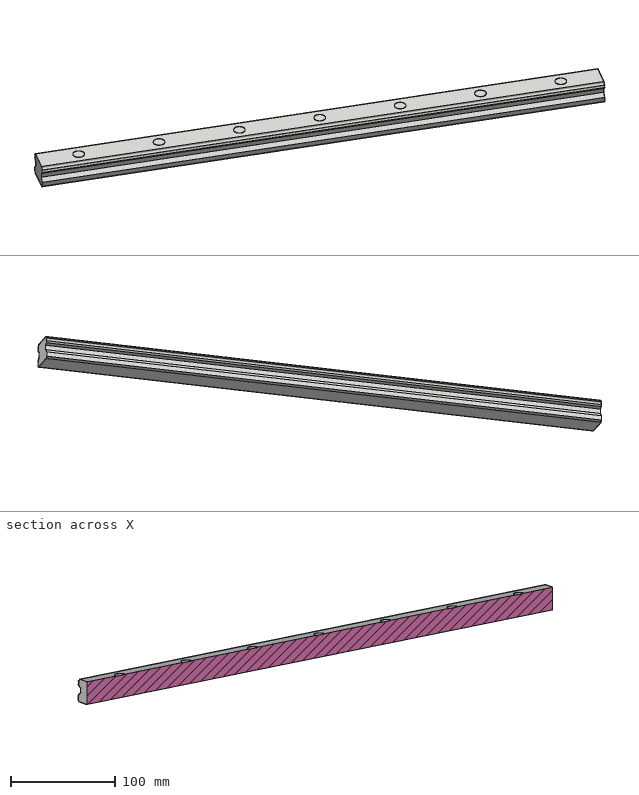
import cadquery as cq

LENGTH = 560.0
WIDTH = 28.0
HEIGHT = 23.0
HALF_WIDTH = WIDTH / 2

BOTTOM_CHAMFER = 1.5
BASE_HEIGHT = 6.0

WAIST_INSET = 3.65
SHOULDER_RISE = 3.65
WAIST_HEIGHT = 4.5
HEAD_UNDERSIDE_RISE = 1.5
HEAD_UNDERSIDE_INSET = 1.0

GROOVE_HEIGHT = 3.0
GROOVE_DEPTH = 0.85
GROOVE_TOP_DROP = 2.5

TOP_INSET = 2.5
BEVEL_INSET = 1.95
BEVEL_DROP = 0.85

HOLE_COUNT = 7
HOLE_PITCH = LENGTH / HOLE_COUNT
HOLE_DIAMETER = 11.0
HOLE_DEPTH = 0.3


def rail_half():
    """Half of the rail, on the +X side of its middle plane."""
    waist_x = HALF_WIDTH - WAIST_INSET
    waist_bottom = BASE_HEIGHT + SHOULDER_RISE
    waist_top = waist_bottom + WAIST_HEIGHT
    head_underside_top = waist_top + HEAD_UNDERSIDE_RISE
    groove_top = HEIGHT - GROOVE_TOP_DROP
    groove_bottom = groove_top - GROOVE_HEIGHT
    groove_middle = (HALF_WIDTH - GROOVE_DEPTH, groove_top - GROOVE_HEIGHT / 2)

    profile = (
        cq.Workplane("XZ")
        .lineTo(HALF_WIDTH - BOTTOM_CHAMFER, 0)
        .lineTo(HALF_WIDTH, BOTTOM_CHAMFER)
        .lineTo(HALF_WIDTH, BASE_HEIGHT)
        .lineTo(waist_x, waist_bottom)
        .lineTo(waist_x, waist_top)
        .lineTo(HALF_WIDTH - HEAD_UNDERSIDE_INSET, head_underside_top)
        .lineTo(HALF_WIDTH, groove_bottom)
        .threePointArc(groove_middle, (HALF_WIDTH, groove_top))
        .lineTo(HALF_WIDTH - BEVEL_INSET, HEIGHT - BEVEL_DROP)
        .lineTo(HALF_WIDTH - TOP_INSET, HEIGHT)
        .lineTo(0, HEIGHT)
        .close()
    )
    return profile.extrude(LENGTH / 2, both=True)


def rail_body():
    half = rail_half()
    return half.union(half.mirror("YZ")).clean()


def hole_recesses():
    return (
        cq.Workplane("XY", origin=(0, 0, HEIGHT - HOLE_DEPTH))
        .rarray(5.5, HOLE_PITCH, 1, HOLE_COUNT)
        .circle(HOLE_DIAMETER / 2)
        .extrude(HOLE_DEPTH)
    )


result = rail_body().cut(hole_recesses())